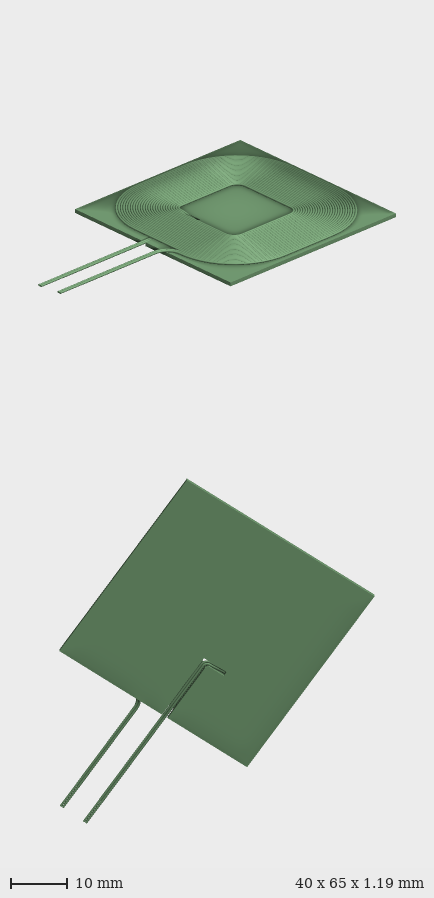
import cadquery as cq
import math

overall_length = 65.0

plate_side = 40.0
plate_thickness = 0.65
sheet_thickness = 0.1

strand_count = 2
turns = 13
corner_offset = 5.8
inner_radius = 1.9
outer_radius = 13.3

lead_offset = 2.5
tip_length = 5.0
tip_radius = 0.2
inner_bend_radius = 1.05

slot_width = 1.25

strand_diameter = (outer_radius - inner_radius) / (strand_count * turns)
strand_radius = strand_diameter / 2
pair_pitch = strand_count * strand_diameter
base_height = sheet_thickness + plate_thickness
half_side = plate_side / 2
lead_end_y = half_side - overall_length
tip_start_y = lead_end_y + tip_length
coil_z = base_height + strand_radius
slot_z = base_height - strand_radius

shifted_corner_x = -corner_offset - pair_pitch
start_radius = inner_radius - pair_pitch
inner_bend_x = -lead_offset - inner_bend_radius
inner_edge_y = -corner_offset - start_radius
inner_bend_y = inner_edge_y - strand_diameter - inner_bend_radius


def arc(center_x, center_y, radius, start_angle, sweep_angle, z):
    """Horizontal arc edge that runs from start_angle through sweep_angle, in degrees."""
    def point(angle):
        turn = math.radians(angle)
        return cq.Vector(center_x + radius * math.cos(turn), center_y + radius * math.sin(turn), z)

    middle_angle = start_angle + sweep_angle / 2
    return cq.Edge.makeThreePointArc(point(start_angle), point(middle_angle), point(start_angle + sweep_angle))


def link(edge, next_edge):
    """Straight edge between two consecutive edges."""
    return cq.Edge.makeLine(edge.endPoint(), next_edge.startPoint())


def strand_path(inset):
    """Axis of a strand that lies `inset` outside the inner edge of the pair."""
    from_middle = inset - strand_diameter

    bend = arc(inner_bend_x, inner_bend_y, inner_bend_radius - from_middle, 0, 90, slot_z)
    bend_start = bend.startPoint()
    inner_lead = cq.Edge.makeLine(cq.Vector(bend_start.x, tip_start_y, slot_z), bend_start)

    arcs = []
    for turn in range(turns):
        radius = inner_radius + turn * pair_pitch + inset
        arcs += [
            arc(shifted_corner_x, -corner_offset, radius - pair_pitch, 270, -90, coil_z),
            arc(-corner_offset, corner_offset, radius, 180, -90, coil_z),
            arc(corner_offset, corner_offset, radius, 90, -90, coil_z),
            arc(corner_offset, -corner_offset, radius, 0, -90, coil_z),
        ]

    ramp = cq.Edge.makeSpline(
        [bend.endPoint(), arcs[0].startPoint()],
        tangents=[cq.Vector(-1, 0, 0), cq.Vector(-1, 0, 0)],
    )

    coil_end = arcs[-1].endPoint()
    outer_bend_radius = corner_offset - lead_offset - from_middle
    outer_bend = arc(corner_offset, coil_end.y - outer_bend_radius, outer_bend_radius, 90, 90, coil_z)
    outer_start = outer_bend.endPoint()
    outer_lead = cq.Edge.makeLine(outer_start, cq.Vector(outer_start.x, tip_start_y, coil_z))

    edges = [inner_lead, bend, ramp, arcs[0]]
    for previous_arc, next_arc in zip(arcs, arcs[1:]):
        edges += [link(previous_arc, next_arc), next_arc]
    edges += [outer_bend, outer_lead]
    return cq.Wire.assembleEdges(edges)


def make_strand(inset):
    path = strand_path(inset)
    start = path.startPoint()
    end = path.endPoint()
    profile = cq.Workplane(cq.Plane(start, xDir=(1, 0, 0), normal=(0, 1, 0))).circle(strand_radius)
    strand = profile.sweep(cq.Workplane(obj=path))
    for lead_end in (start, end):
        tip_plane = cq.Plane(lead_end, xDir=(1, 0, 0), normal=(0, -1, 0))
        strand = strand.union(cq.Workplane(tip_plane).circle(tip_radius).extrude(tip_length))
    return strand


def slotted_square(bottom_z, thickness):
    """Square layer with the through slot that leads the inner pair out under the coil."""
    slot_right = -lead_offset + slot_width / 2
    slot_left = slot_right - slot_width
    leg_lower_y = inner_edge_y - pair_pitch
    slot = (
        cq.Workplane("XY")
        .moveTo(slot_left, -half_side)
        .lineTo(slot_right, -half_side)
        .lineTo(slot_right, inner_edge_y)
        .lineTo(shifted_corner_x, inner_edge_y)
        .lineTo(shifted_corner_x, leg_lower_y)
        .lineTo(inner_bend_x, leg_lower_y)
        .lineTo(slot_left, inner_bend_y)
        .close()
        .extrude(thickness)
    )
    layer = cq.Workplane("XY").rect(plate_side, plate_side).extrude(thickness).cut(slot)
    return layer.translate((0, 0, bottom_z))


backing_sheet = slotted_square(0, sheet_thickness)
ferrite_plate = slotted_square(sheet_thickness, plate_thickness)
strands = [make_strand(strand_radius + index * strand_diameter) for index in range(strand_count)]
result = cq.Compound.makeCompound(
    [backing_sheet.val(), ferrite_plate.val()] + [strand.val() for strand in strands]
)